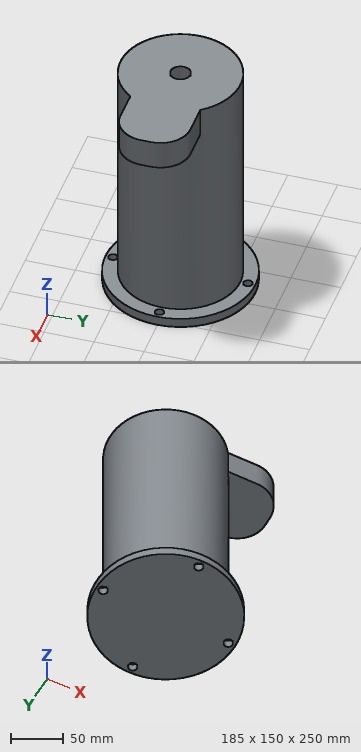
import cadquery as cq

total_height = 250.0
column_diameter = 120.0
flange_diameter = 150.0
flange_thickness = 10.0

arm_reach = 110.0
arm_width = 70.0
arm_thickness = 30.0
arm_corner_radius = 30.0

flange_hole_count = 4
flange_hole_diameter = 9.0
flange_hole_circle_radius = (column_diameter + flange_diameter) / 4

top_hole_diameter = 20.0
top_hole_depth = arm_thickness


def make_flange():
    """Round base plate with evenly spaced through holes."""
    plate = cq.Workplane("XY").circle(flange_diameter / 2).extrude(flange_thickness)
    return (
        plate.faces(">Z")
        .workplane()
        .polarArray(flange_hole_circle_radius, 0, 360, flange_hole_count)
        .hole(flange_hole_diameter)
    )


def make_column():
    """Upright cylinder from the flange to the top."""
    return (
        cq.Workplane("XY")
        .workplane(offset=flange_thickness)
        .circle(column_diameter / 2)
        .extrude(total_height - flange_thickness)
    )


def make_arm():
    """Flat arm starting on the column axis, with rounded outer corners."""
    return (
        cq.Workplane("XY")
        .workplane(offset=total_height - arm_thickness)
        .center(arm_reach / 2, 0)
        .rect(arm_reach, arm_width)
        .extrude(arm_thickness)
        .edges("|Z and >X")
        .fillet(arm_corner_radius)
    )


body = make_flange().union(make_column()).union(make_arm())
result = body.faces(">Z").workplane(origin=(0, 0, total_height)).hole(top_hole_diameter, top_hole_depth)